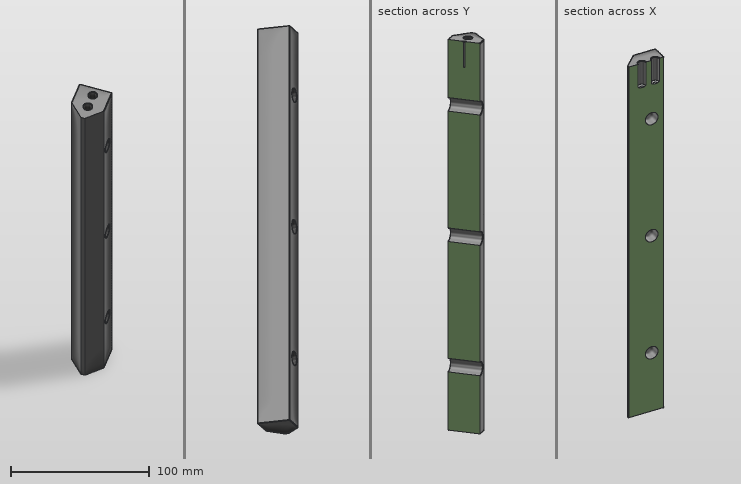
import cadquery as cq
import math

WIDTH = 25.0
DEPTH = 29.0
LENGTH = 300.0
TIP_WIDTH = 3.0
NOSE_DEPTH = (WIDTH - TIP_WIDTH) / 2
EDGE_CHAMFER = 0.5

CROSS_DIAMETER = 10.0
CROSS_CHAMFER = 0.35
CROSS_FROM_BACK = 10.0
CROSS_PITCH = 100.0
CROSS_COUNT = 3

END_HOLE_DIAMETER = 6.0
END_HOLE_CHAMFER = 0.5
END_HOLE_DEPTH = 20.0
END_HOLE_FROM_BACK = 7.0
END_HOLE_PITCH = 11.0
END_HOLE_COUNT = 2
DRILL_POINT_ANGLE = 118.0
DRILL_TIP_DIAMETER = 3.25

BACK_Y = CROSS_FROM_BACK
TIP_Y = BACK_Y - DEPTH
SHOULDER_Y = TIP_Y + NOSE_DEPTH
TOP_Z = LENGTH / 2


def make_bar():
    """Extruded section with chamfers on the square edges; the nose edges stay sharp."""
    outline = [
        (-WIDTH / 2, BACK_Y),
        (-WIDTH / 2, SHOULDER_Y),
        (-TIP_WIDTH / 2, TIP_Y),
        (TIP_WIDTH / 2, TIP_Y),
        (WIDTH / 2, SHOULDER_Y),
        (WIDTH / 2, BACK_Y),
    ]
    bar = cq.Workplane("XY", origin=(0, 0, -TOP_Z)).polyline(outline).close().extrude(LENGTH)
    end_edges = bar.faces("<Z or >Z").edges(">Y or <X or >X")
    back_edges = bar.edges("|Z and >Y")
    return bar.newObject(end_edges.vals() + back_edges.vals()).chamfer(EDGE_CHAMFER)


def cross_hole(z):
    """Through hole along X, chamfered at both mouths."""
    radius = CROSS_DIAMETER / 2
    mouth_radius = radius + CROSS_CHAMFER
    mouth_x = WIDTH / 2
    bore_x = mouth_x - CROSS_CHAMFER
    half_section = [
        (-mouth_x, 0),
        (-mouth_x, mouth_radius),
        (-bore_x, radius),
        (bore_x, radius),
        (mouth_x, mouth_radius),
        (mouth_x, 0),
    ]
    return (
        cq.Workplane("XY", origin=(0, BACK_Y - CROSS_FROM_BACK, z))
        .polyline(half_section)
        .close()
        .revolve(360, (0, 0, 0), (1, 0, 0))
    )


def end_hole(y):
    """Blind hole with a chamfered mouth at the top end and a conical, flat-tipped bottom."""
    radius = END_HOLE_DIAMETER / 2
    tip_radius = DRILL_TIP_DIAMETER / 2
    point_length = (radius - tip_radius) / math.tan(math.radians(DRILL_POINT_ANGLE / 2))
    tip_z = -END_HOLE_DEPTH - point_length
    half_section = [
        (0, 0),
        (radius + END_HOLE_CHAMFER, 0),
        (radius, -END_HOLE_CHAMFER),
        (radius, -END_HOLE_DEPTH),
        (tip_radius, tip_z),
        (0, tip_z),
    ]
    return (
        cq.Workplane("XZ", origin=(0, y, TOP_Z))
        .polyline(half_section)
        .close()
        .revolve(360, (0, 0, 0), (0, 1, 0))
    )


result = make_bar()

for index in range(CROSS_COUNT):
    offset = index - (CROSS_COUNT - 1) / 2
    result = result.cut(cross_hole(offset * CROSS_PITCH))

for index in range(END_HOLE_COUNT):
    result = result.cut(end_hole(BACK_Y - END_HOLE_FROM_BACK - index * END_HOLE_PITCH))